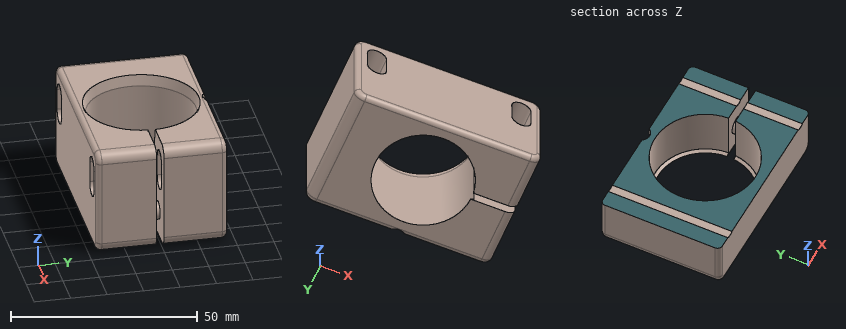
import cadquery as cq
import math

LENGTH = 54.0
DEPTH = 36.0
HEIGHT = 30.0
CORNER_RADIUS = 3.0
FACE_EDGE_RADIUS = 1.5

BORE_RADIUS = 15.0
LEAD_IN_DEPTH = 3.0
LEAD_IN_ANGLE = 15.0
MOUTH_RADIUS = BORE_RADIUS + LEAD_IN_DEPTH * math.tan(math.radians(LEAD_IN_ANGLE))
LIP_RADIUS = 14.0
LIP_SLOPE = 30.0
LIP_HEIGHT = (BORE_RADIUS - LIP_RADIUS) * math.tan(math.radians(LIP_SLOPE))

GAP_WIDTH = 2.0
GAP_Y = -0.5
SCREW_DIAMETER = 5.0
SCREW_X = 19.5
SCREW_Z = -7.5
SHANK_EMBED = 1.0

SLOT_WIDTH = 5.5
SLOT_LENGTH = 11.5
SLOT_SPACING = 42.0
SLOT_Z = 5.5

GROOVE_RADIUS = 2.5
GROOVE_DEPTH = 1.2

TOP_Z = HEIGHT / 2
BOTTOM_Z = -HEIGHT / 2


def block():
    """Block with rounded corners along Y and softened front and rear edges."""
    body = cq.Workplane("XY").box(LENGTH, DEPTH, HEIGHT)
    body = body.edges("|Y").fillet(CORNER_RADIUS)
    return body.faces("<Y or >Y").edges().fillet(FACE_EDGE_RADIUS)


def bore():
    """Straight bore with a tapered mouth at the top and a tapered lip at the bottom."""
    return (
        cq.Workplane("XZ")
        .moveTo(0, BOTTOM_Z)
        .lineTo(LIP_RADIUS, BOTTOM_Z)
        .lineTo(BORE_RADIUS, BOTTOM_Z + LIP_HEIGHT)
        .lineTo(BORE_RADIUS, TOP_Z - LEAD_IN_DEPTH)
        .lineTo(MOUTH_RADIUS, TOP_Z)
        .lineTo(0, TOP_Z)
        .close()
        .revolve(360, (0, 0, 0), (0, 1, 0))
    )


def clamping_gap():
    """Cut from the bore centre out through the +X side."""
    gap_length = LENGTH / 2
    return cq.Workplane("XY").box(gap_length, GAP_WIDTH, HEIGHT).translate((gap_length / 2, GAP_Y, 0))


def screw_shank():
    """Cylinder along Y that bridges the gap and runs a little into both jaws."""
    shank_length = GAP_WIDTH + 2 * SHANK_EMBED
    return (
        cq.Workplane("XZ")
        .circle(SCREW_DIAMETER / 2)
        .extrude(shank_length)
        .translate((SCREW_X, GAP_Y + shank_length / 2, SCREW_Z))
    )


def mounting_slots():
    """Pair of upright slots, one on each side of the bore."""
    return (
        cq.Workplane("XZ")
        .pushPoints([(-SLOT_SPACING / 2, SLOT_Z), (SLOT_SPACING / 2, SLOT_Z)])
        .slot2D(SLOT_LENGTH, SLOT_WIDTH, 90)
        .extrude(DEPTH / 2, both=True)
    )


def rear_groove():
    """Full-height round groove in the middle of the rear face."""
    groove_y = DEPTH / 2 + GROOVE_RADIUS - GROOVE_DEPTH
    return cq.Workplane("XY").center(0, groove_y).circle(GROOVE_RADIUS).extrude(HEIGHT / 2, both=True)


result = (
    block()
    .cut(bore())
    .cut(clamping_gap())
    .cut(mounting_slots())
    .cut(rear_groove())
    .union(screw_shank())
)